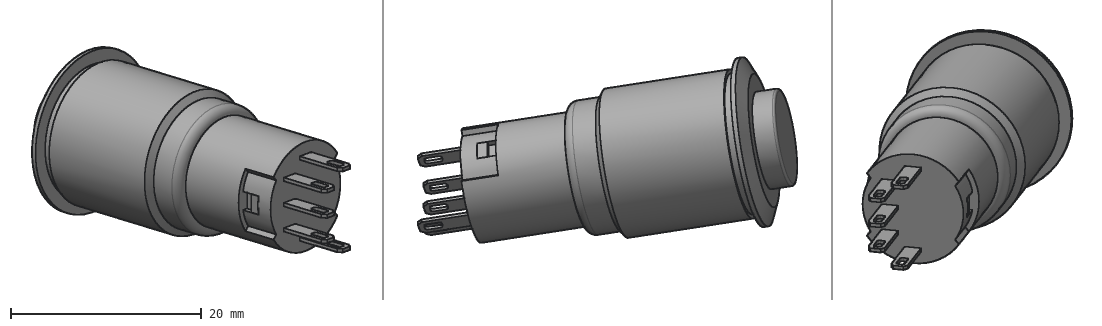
import cadquery as cq


total_length = 39.65
bezel_front = 2.4
bezel_rim_front = 3.35
bezel_back = 3.85
body_front = 4.85
body_taper_start = 18.28
collar_front = 18.87
barrel_front = 22.45
barrel_back = 33.85

button_diameter = 10.4
bezel_face_diameter = 14.2
bezel_diameter = 18.0
neck_diameter = 15.0
body_diameter = 15.9
collar_diameter = 14.3
barrel_diameter = 12.2
button_edge_radius = 0.28
collar_edge_radius = (collar_diameter - barrel_diameter) / 2

recess_length = 3.95
recess_outer_half_height = 3.5
recess_inner_half_height = 3.0
recess_floor_diameter = 11.0

latch_length = 2.2
latch_height = 2.05
pocket_length = latch_length / 2
pocket_floor_y = 4.75
shelf_y = 5.35

pin_width = 1.8
pin_thickness = 0.4
pin_tip_length = 0.5
pin_tip_width = 1.1
pin_root_depth = 0.8
eyelet_length = 1.9
eyelet_width = 0.87
eyelet_corner_radius = 0.28
eyelet_tip_gap = 0.6
side_pin_y = -2.5
side_pin_z = 2.8
outer_pin_z = 4.52
pin_places = [
    (0, outer_pin_z),
    (side_pin_y, side_pin_z),
    (side_pin_y, 0),
    (side_pin_y, -side_pin_z),
    (0, -outer_pin_z),
]


def cylinder(diameter, start, end):
    """Cylinder on the X axis between two stations."""
    return cq.Workplane("YZ", origin=(start, 0, 0)).circle(diameter / 2).extrude(end - start)


def cone(start_diameter, end_diameter, start, end):
    """Frustum on the X axis between two stations."""
    profile = [
        (start, 0),
        (start, start_diameter / 2),
        (end, end_diameter / 2),
        (end, 0),
    ]
    return cq.Workplane("XY").polyline(profile).close().revolve(360, (0, 0, 0), (1, 0, 0))


def make_turned_shape():
    """Button, bezel, body, collar and barrel stacked along the axis."""
    button = cylinder(button_diameter, 0, bezel_front).faces("<X").edges().fillet(button_edge_radius)
    collar = cylinder(collar_diameter, collar_front, barrel_front)
    collar = collar.faces(">X").edges().fillet(collar_edge_radius)
    return (
        button
        .union(cone(bezel_face_diameter, bezel_diameter, bezel_front, bezel_rim_front))
        .union(cylinder(bezel_diameter, bezel_rim_front, bezel_back))
        .union(cylinder(neck_diameter, bezel_back, body_front))
        .union(cylinder(body_diameter, body_front, body_taper_start))
        .union(cone(body_diameter, collar_diameter, body_taper_start, collar_front))
        .union(collar)
        .union(cylinder(barrel_diameter, barrel_front, barrel_back))
    )


def make_recess(side):
    """Cutter for one side recess: a flared slot that leaves a cylindrical floor."""
    front = barrel_back - recess_length
    inner_y = ((recess_floor_diameter / 2) ** 2 - recess_inner_half_height ** 2) ** 0.5
    outer_y = ((barrel_diameter / 2) ** 2 - recess_outer_half_height ** 2) ** 0.5
    far_y = barrel_diameter
    outline = [
        (side * inner_y, -recess_inner_half_height),
        (side * outer_y, -recess_outer_half_height),
        (side * far_y, -recess_outer_half_height),
        (side * far_y, recess_outer_half_height),
        (side * outer_y, recess_outer_half_height),
        (side * inner_y, recess_inner_half_height),
    ]
    slot = cq.Workplane("YZ", origin=(front, 0, 0)).polyline(outline).close().extrude(recess_length)
    return slot.cut(cylinder(recess_floor_diameter, front, barrel_back))


def make_latch_window(side):
    """Cutter for the deep pocket and the flat shelf behind it in one recess."""
    front = barrel_back - recess_length
    outer_y = recess_floor_diameter / 2
    outline = [
        (front, side * outer_y),
        (front, side * pocket_floor_y),
        (front + pocket_length, side * pocket_floor_y),
        (front + pocket_length, side * shelf_y),
        (front + latch_length, side * shelf_y),
        (front + latch_length, side * outer_y),
    ]
    return cq.Workplane("XY").polyline(outline).close().extrude(latch_height / 2, both=True)


def make_pin(y, z):
    """Flat solder pin with a tapered tip and a slotted eyelet."""
    root = barrel_back - pin_root_depth
    shoulder = total_length - pin_tip_length
    eyelet_center = total_length - eyelet_tip_gap - eyelet_length / 2
    outline = [
        (root, -pin_width / 2),
        (shoulder, -pin_width / 2),
        (total_length, -pin_tip_width / 2),
        (total_length, pin_tip_width / 2),
        (shoulder, pin_width / 2),
        (root, pin_width / 2),
    ]
    blade = cq.Workplane("XY").polyline(outline).close().extrude(pin_thickness / 2, both=True)
    eyelet = (
        cq.Workplane("XY")
        .center(eyelet_center, 0)
        .rect(eyelet_length, eyelet_width)
        .extrude(pin_thickness, both=True)
        .edges("|Z")
        .fillet(eyelet_corner_radius)
    )
    return blade.cut(eyelet).translate((0, y, z))


result = make_turned_shape()
for side in (-1, 1):
    result = result.cut(make_recess(side)).cut(make_latch_window(side))
for pin_y, pin_z in pin_places:
    result = result.union(make_pin(pin_y, pin_z))